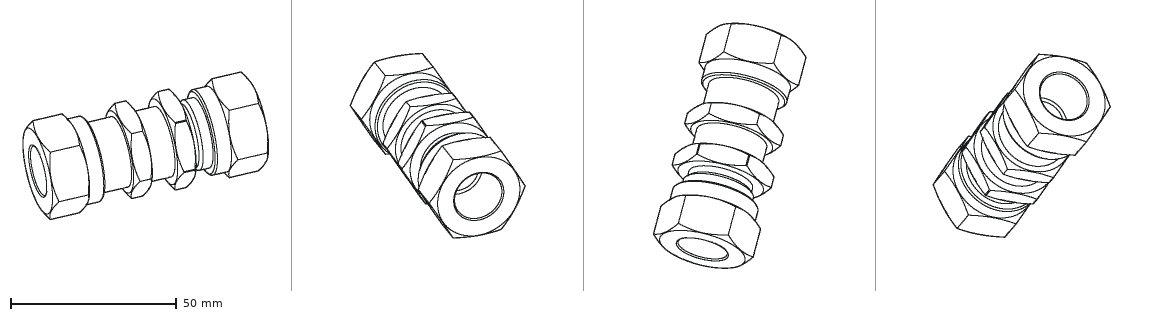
import cadquery as cq
import math

length = 69.5
half_length = length / 2

nut_flats = 27.0
nut_width = 11.95
nut_face_diameter = 26.7
collar_diameter = 26.7
collar_end = 17.0
collar_chamfer = 0.55

barrel_diameter = 22.0
groove_diameter = 20.0
groove_start = 21.2
groove_taper = (barrel_diameter - groove_diameter) / 2

flange_start = 23.3
flange_width = 6.0
flange_corner_diameter = 30.95

locknut_flats = 26.0
locknut_start = 37.2
locknut_width = 6.05
locknut_face_diameter = 25.6

bore_diameter = 12.9
socket_diameter = 15.35
socket_depth = 17.0
socket_mouth_diameter = 16.3

hex_chamfer_angle = 30.0
hex_corner_ratio = 2 / math.sqrt(3)


def revolve_profile(points):
    """Turn an outline of (radius, y) points about the Y axis."""
    return cq.Workplane("XY").polyline(points).close().revolve(360, (0, 0, 0), (0, 1, 0))


def cylinder(diameter, y_start, y_end):
    return (
        cq.Workplane("XZ", origin=(0, y_end, 0))
        .circle(diameter / 2)
        .extrude(y_end - y_start)
    )


def chamfered_hexagon(flats, y_start, width, face_diameter, corner_diameter=None):
    """Hexagon with flats on +Z and -Z, both ends coned to a round face."""
    hex_corners = flats * hex_corner_ratio
    y_end = y_start + width
    hexagon = cq.Workplane("XZ", origin=(0, y_end, 0)).polygon(6, hex_corners).extrude(width)
    outer_radius = (corner_diameter or hex_corners) / 2
    face_radius = face_diameter / 2
    cone_height = (outer_radius - face_radius) * math.tan(math.radians(hex_chamfer_angle))
    envelope = revolve_profile([
        (0, y_start),
        (face_radius, y_start),
        (outer_radius, y_start + cone_height),
        (outer_radius, y_end - cone_height),
        (face_radius, y_end),
        (0, y_end),
    ])
    return hexagon.intersect(envelope)


def end_nut_and_collar():
    """Nut and collar at the -Y end."""
    nut = chamfered_hexagon(nut_flats, -half_length, nut_width, nut_face_diameter)
    collar = cylinder(collar_diameter, -half_length + nut_width, -half_length + collar_end)
    return nut.union(collar.faces(">Y").edges().chamfer(collar_chamfer))


def grooved_barrel():
    """Barrel between the collars, with the groove running up to the flange."""
    barrel_radius = barrel_diameter / 2
    groove_radius = groove_diameter / 2
    barrel_end = half_length - collar_end
    groove_top = half_length - groove_start
    flange_top = half_length - flange_start
    return revolve_profile([
        (0, -barrel_end),
        (barrel_radius, -barrel_end),
        (barrel_radius, flange_top - flange_width),
        (groove_radius, flange_top - flange_width),
        (groove_radius, groove_top),
        (barrel_radius, groove_top + groove_taper),
        (barrel_radius, barrel_end),
        (0, barrel_end),
    ])


def socketed_bore():
    """Through bore, with a socket and a chamfered mouth at each end."""
    bore_radius = bore_diameter / 2
    socket_radius = socket_diameter / 2
    mouth_radius = socket_mouth_diameter / 2
    mouth_end = half_length - (mouth_radius - socket_radius)
    socket_end = half_length - socket_depth
    return revolve_profile([
        (0, -half_length),
        (mouth_radius, -half_length),
        (socket_radius, -mouth_end),
        (socket_radius, -socket_end),
        (bore_radius, -socket_end),
        (bore_radius, socket_end),
        (socket_radius, socket_end),
        (socket_radius, mouth_end),
        (mouth_radius, half_length),
        (0, half_length),
    ])


def make_fitting():
    flange = chamfered_hexagon(
        nut_flats,
        half_length - flange_start - flange_width,
        flange_width,
        nut_face_diameter,
        flange_corner_diameter,
    )
    end = end_nut_and_collar()
    outside = grooved_barrel().union(flange).union(end).union(end.mirror("XZ"))
    return outside.cut(socketed_bore())


def make_locknut():
    y_end = half_length - locknut_start
    y_start = y_end - locknut_width
    hexagon = chamfered_hexagon(locknut_flats, y_start, locknut_width, locknut_face_diameter)
    return hexagon.cut(cylinder(barrel_diameter, y_start, y_end))


fitting = make_fitting()
locknut = make_locknut()
result = cq.Compound.makeCompound([fitting.solids().val(), locknut.solids().val()])